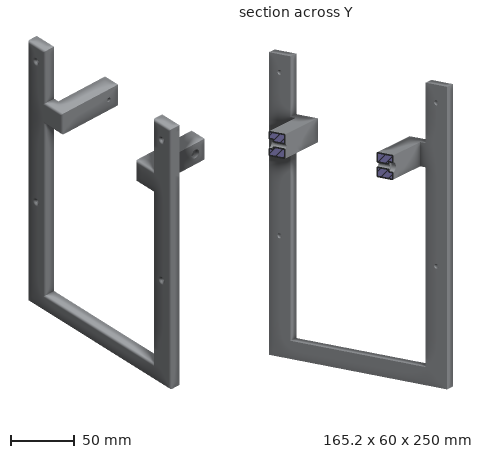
import cadquery as cq

width = 165.2
height = 250.0
depth = 60.0
rail_width = 20.0
frame_thickness = 10.0
crossbar_height = 15.0
edge_radius = 2.0

tab_reach = 40.0
tab_height = 20.0
tab_top = 200.0
arm_thickness = 15.0

bore_diameter = 4.0
head_diameter = 8.0
counterbore_depth = 4.0
rail_hole_heights = (100.0, 235.0)
arm_hole_setback = 10.0

half_width = width / 2
rail_inner_x = half_width - rail_width
tab_inner_x = half_width - tab_reach
tab_bottom = tab_top - tab_height


def rail_bore(x, z):
    """Cutter for a straight hole through the frame thickness."""
    return cq.Workplane("XZ").center(x, z).circle(bore_diameter / 2).extrude(-frame_thickness)


def make_frame():
    """U-shaped front frame with inward tabs, rail holes and all front edges rounded."""
    right_half = [
        (rail_inner_x, crossbar_height),
        (rail_inner_x, tab_bottom),
        (tab_inner_x, tab_bottom),
        (tab_inner_x, tab_top),
        (rail_inner_x, tab_top),
        (rail_inner_x, height),
        (half_width, height),
        (half_width, 0),
    ]
    left_half = [(-x, z) for x, z in reversed(right_half)]
    frame = cq.Workplane("XZ").polyline(right_half + left_half).close().extrude(-frame_thickness)
    for side in (-1, 1):
        hole_x = side * (half_width - rail_width / 2)
        for hole_z in rail_hole_heights:
            frame = frame.cut(rail_bore(hole_x, hole_z))
    return frame.faces("<Y").edges().fillet(edge_radius)


def make_arm(side):
    """Arm running back from a tab; side is -1 for left and 1 for right."""
    center_x = side * (tab_inner_x + arm_thickness / 2)
    length = depth - frame_thickness
    return cq.Workplane("XY").box(arm_thickness, length, tab_height).translate(
        (center_x, frame_thickness + length / 2, tab_bottom + tab_height / 2)
    )


def counterbored_hole(mouth, direction, length):
    """Cutter for a through hole with a flat screw head seat at the mouth."""
    start = cq.Vector(*mouth)
    axis = cq.Vector(*direction)
    bore = cq.Solid.makeCylinder(bore_diameter / 2, length, start, axis)
    seat = cq.Solid.makeCylinder(head_diameter / 2, counterbore_depth, start, axis)
    return cq.Workplane(obj=bore.fuse(seat))


result = make_frame()
for side in (-1, 1):
    result = result.union(make_arm(side))

    arm_outer_x = side * (tab_inner_x + arm_thickness)
    arm_mouth = (arm_outer_x, depth - arm_hole_setback, tab_bottom + tab_height / 2)
    result = result.cut(counterbored_hole(arm_mouth, (-side, 0, 0), arm_thickness))